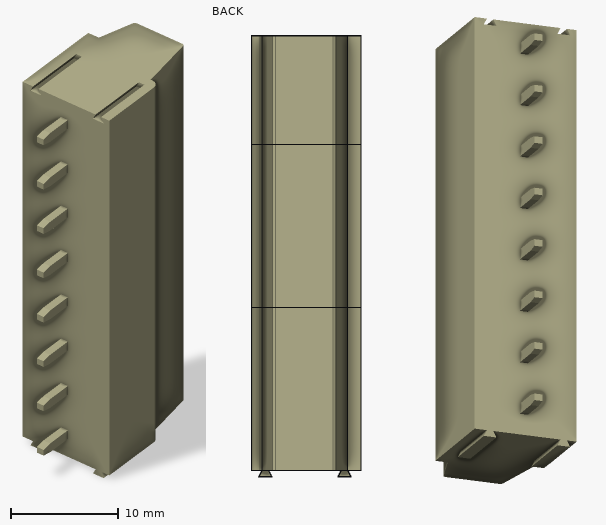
import cadquery as cq


pitch = 5.08
poles_per_module = [3, 3, 2]

width = 10.25
depth = 14.0
left_shoulder_y = 10.0
left_shoulder_width = 1.25
right_shoulder_y = 7.6
right_shoulder_width = 1.0
crown_left_x = 2.4
crown_right_x = 8.25
crown_radius = 0.3
shoulder_radius = 0.8

dovetail_neck = 0.65
dovetail_base = 1.25
dovetail_height = 0.6
dovetail_length = 6.6
dovetail_centers = [1.55, 8.95]

pin_x = 4.95
pin_width = 0.8
pin_height = 1.0
pin_tip_height = 0.65
pin_length = 3.7
pin_taper_length = 1.0


def housing(height):
    """Block of the given height with its outline in the XY plane."""
    block = (
        cq.Workplane("XY")
        .moveTo(0, 0)
        .lineTo(width, 0)
        .lineTo(width, right_shoulder_y)
        .lineTo(width - right_shoulder_width, right_shoulder_y)
        .lineTo(crown_right_x, depth)
        .lineTo(crown_left_x, depth)
        .lineTo(left_shoulder_width, left_shoulder_y)
        .lineTo(0, left_shoulder_y)
        .close()
        .extrude(height)
    )
    crown_edges = block.faces(">Y").edges("|Z")
    block = crown_edges.fillet(crown_radius)
    shoulder_edge = block.faces(">X").edges("|Z and >Y")
    return shoulder_edge.fillet(shoulder_radius)


def dovetails(neck_z):
    """Pair of dovetails hanging down from the plane Z = neck_z."""
    base_z = neck_z - dovetail_height
    pair = cq.Workplane("XZ")
    for x in dovetail_centers:
        pair = pair.polyline([
            (x - dovetail_neck / 2, neck_z),
            (x + dovetail_neck / 2, neck_z),
            (x + dovetail_base / 2, base_z),
            (x - dovetail_base / 2, base_z),
        ]).close()
    return pair.extrude(-dovetail_length)


def pin(z):
    """Solder pin centred at height z, tapering in height towards its tip."""
    taper_start_y = pin_taper_length - pin_length
    return (
        cq.Workplane("YZ", origin=(pin_x - pin_width / 2, 0, z))
        .polyline([
            (0, pin_height / 2),
            (taper_start_y, pin_height / 2),
            (-pin_length, pin_tip_height / 2),
            (-pin_length, -pin_tip_height / 2),
            (taper_start_y, -pin_height / 2),
            (0, -pin_height / 2),
        ])
        .close()
        .extrude(pin_width)
    )


def module(poles):
    """One terminal block module standing on Z = 0, with its pins."""
    height = poles * pitch
    body = housing(height).cut(dovetails(height)).union(dovetails(0))
    for pole in range(poles):
        body = body.union(pin((pole + 0.5) * pitch))
    return body


modules = []
module_z = 0
for poles in poles_per_module:
    modules.append(module(poles).translate((0, 0, module_z)))
    module_z += poles * pitch

result = cq.Compound.makeCompound([block.val() for block in modules])